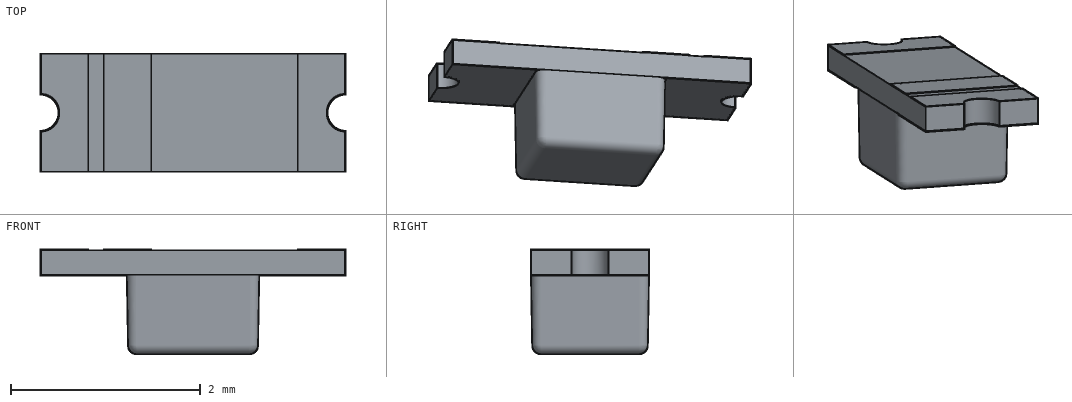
import cadquery as cq

overall_length = 3.22
width = 1.25
overall_height = 1.11
metal_thickness = 0.01

board_thickness = 0.26
board_length = overall_length - 2 * metal_thickness
board_top = overall_height - metal_thickness
board_bottom = board_top - board_thickness

notch_radius = 0.19
board_notch_radius = notch_radius + metal_thickness

top_pad_length = 0.505
strip_start = 0.67
strip_length = 0.5

housing_length = 1.4
housing_height = board_bottom
housing_draft = 1.0
corner_radius = 0.1
bottom_radius = 0.095

bottom_pad_length = (overall_length - housing_length) / 2


def slab(x_start, length, bottom, height):
    """Full-width box that starts at x_start, measured from the -X end of the part."""
    block = cq.Workplane("XY").box(length, width, height, centered=(False, True, False))
    return block.translate((x_start - overall_length / 2, 0, bottom))


def end_cylinders(radius):
    """Upright cylinders centred on both ends of the part."""
    return (
        cq.Workplane("XY")
        .pushPoints([(-overall_length / 2, 0), (overall_length / 2, 0)])
        .circle(radius)
        .extrude(overall_height)
    )


def make_board():
    """Plain board with a half-round notch in each end."""
    blank = slab(metal_thickness, board_length, board_bottom, board_thickness)
    return blank.cut(end_cylinders(board_notch_radius))


def make_left_terminal(board):
    """Metal that wraps over the top, end, notch wall and bottom of the board's -X end."""
    top_part = slab(0, top_pad_length, board_bottom, board_thickness + metal_thickness)
    bottom_part = slab(0, bottom_pad_length, board_bottom - metal_thickness, board_thickness)
    return top_part.union(bottom_part).cut(board).cut(end_cylinders(notch_radius))


def make_strip():
    """Thin metal marking strip across the top of the board."""
    return slab(strip_start, strip_length, board_top, metal_thickness)


def make_housing():
    """Tapered block with rounded upright corners and a rounded underside."""
    outline = cq.Sketch().rect(housing_length, width).vertices().fillet(corner_radius)
    return (
        cq.Workplane("XY", origin=(0, 0, board_bottom))
        .placeSketch(outline)
        .extrude(-housing_height, taper=housing_draft)
        .faces("<Z")
        .edges()
        .fillet(bottom_radius)
    )


board = make_board()
left_terminal = make_left_terminal(board)
right_terminal = left_terminal.mirror("YZ")
strip = make_strip()
housing = make_housing()

bodies = [board, left_terminal, right_terminal, strip, housing]
result = cq.Compound.makeCompound([body.solids().val() for body in bodies])